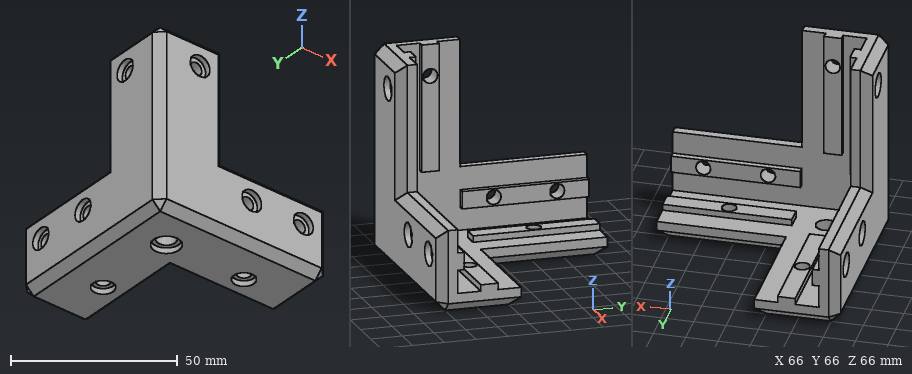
import cadquery as cq


profile_width = 20.0
wall = 6.0
arm_reach = 40.0
edge_chamfer = 3.0

arm_width = wall + profile_width
size = arm_width + arm_reach
centre_line = wall + profile_width / 2
arm_middle = arm_width + arm_reach / 2

rail_width = 5.45
rail_height = 2.0

screw_diameter = 4.5
screw_head_diameter = 7.5
corner_screw_diameter = 6.5
corner_head_diameter = 9.5
head_depth = 2.0

hole_offset = arm_reach / 4
inner_hole = arm_middle - hole_offset
end_hole = arm_middle + hole_offset

front_plane = cq.Plane(origin=(0, 0, 0), xDir=(0, 0, 1), normal=(0, 1, 0))
side_plane = cq.Plane(origin=(0, 0, 0), xDir=(0, 1, 0), normal=(1, 0, 0))
base_plane = cq.Plane(origin=(0, 0, 0), xDir=(1, 0, 0), normal=(0, 0, 1))

front_screws = [(centre_line, inner_hole), (centre_line, end_hole), (end_hole, centre_line)]
side_screws = [(inner_hole, centre_line), (end_hole, centre_line), (centre_line, end_hole)]
base_screws = [(arm_middle, centre_line), (centre_line, arm_middle)]
corner_screw = [(centre_line, centre_line)]


def plate(plane):
    """L-shaped plate with two equal arms."""
    outline = [
        (0, 0),
        (size, 0),
        (size, arm_width),
        (arm_width, arm_width),
        (arm_width, size),
        (0, size),
    ]
    return cq.Workplane(plane).polyline(outline).close().extrude(wall)


def corner_shell():
    """The three plates joined, with the edges of their outer faces bevelled."""
    shell = plate(front_plane).union(plate(side_plane)).union(plate(base_plane))
    shell = shell.clean()
    return shell.faces("<X or <Y or <Z").edges().chamfer(edge_chamfer)


def rail(plane, centre, length_x, length_y):
    """One key standing on the inner face of a plate."""
    inner_face = cq.Workplane(plane).workplane(offset=wall)
    return inner_face.center(*centre).rect(length_x, length_y).extrude(rail_height)


def rails(plane):
    """A key along each arm of a plate, from the corner block to the tip."""
    along_x = rail(plane, (arm_middle, centre_line), arm_reach, rail_width)
    along_y = rail(plane, (centre_line, arm_middle), rail_width, arm_reach)
    return along_x.union(along_y)


def screw_holes(plane, points, diameter, head_diameter):
    """Cutters for through holes, counterbored from the outer face."""
    shanks = cq.Workplane(plane).pushPoints(points).circle(diameter / 2)
    heads = cq.Workplane(plane).pushPoints(points).circle(head_diameter / 2)
    return shanks.extrude(wall + rail_height).union(heads.extrude(head_depth))


bracket = corner_shell()
plates = [(front_plane, front_screws), (side_plane, side_screws), (base_plane, base_screws)]
for plate_plane, screws in plates:
    bracket = bracket.union(rails(plate_plane))
    bracket = bracket.cut(screw_holes(plate_plane, screws, screw_diameter, screw_head_diameter))

result = bracket.cut(
    screw_holes(base_plane, corner_screw, corner_screw_diameter, corner_head_diameter)
)